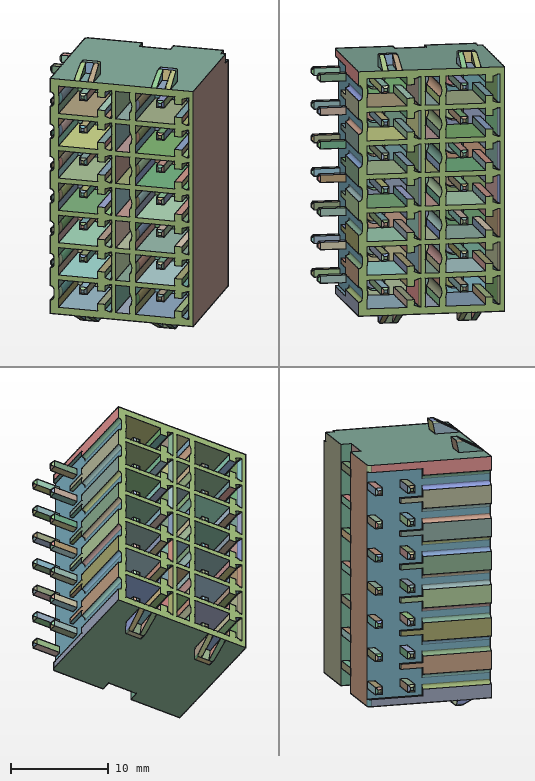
import cadquery as cq
import math


total_width = 17.8
total_height = 28.1
depth = 13.3
width = 15.25
height = 25.57

row_count = 7
row_pitch = 3.5
column_pitch = 8.23
row_heights = [(i - (row_count - 1) / 2) * row_pitch for i in range(row_count)]
column_starts = [0, column_pitch]

cavity_left = 0.9
cavity_width = 5.5
cavity_height = 2.98
cavity_depth = 7.35
lead_in_width = 0.15
lead_in_depth = 0.7
rib_left = 5.05
rib_width = 0.8
rib_drop = 0.8
rib_flare_drop = 0.2
rib_flare_width = 0.5
bump_start_height = 0.05
bump_height = 0.22
bump_half_span = 0.62

pocket_left = 7.0
pocket_width = 1.5
pocket_groove_depth = 0.22
pocket_groove_half_span = 0.67

pin_size = 0.8
pin_in_cavity = 3.1
pin_front = 1.32
pin_tip = 0.22
pin_exits = [9.33, 12.8]
pin_end = width - total_width
well_mouth = 2.08
well_floors = [1.9, 2.08]
well_depth = 0.85

recess_depth = 0.4
corner_radius = recess_depth
rim = 0.75
finger_end = 9.75
finger_thickness = row_pitch - cavity_height
groove_half_floor = 0.37
groove_half_mouth = 0.8

slot_left = 6.1
slot_width = 3.32
slot_depth = 1.12
corner_notch_width = 0.5
corner_notch_depth = 0.98
corner_notch_height = 0.98

hook_height = (total_height - height) / 2
hook_width = 2.08
hook_top_width = 1.9
hook_center = 3.57
hook_crest = 2.4
hook_tip = 2.98
hook_foot = 2.73
hook_root = 0.28
hook_round = 0.17
hook_slot_width = 0.87
hook_slot_rise = 0.17
hook_slot_end = 2.1


def box(x, y, z, dx, dy, dz):
    """Box from its lowest corner and its sizes."""
    return cq.Workplane("XY").box(dx, dy, dz, centered=False).translate((x, y, z))


def extrude_back(sketch, length):
    """Extrude an outline lying on the open front toward the back."""
    return sketch.extrude(-length)


def make_housing():
    """Solid block with a through slot and a corner notch at the back."""
    block = box(0, 0, -height / 2, width, depth, height)
    block = block.edges("<X and >Y").fillet(corner_radius)

    slot = box(slot_left, depth - slot_depth, -height / 2, slot_width, slot_depth, height)
    notch = box(
        width - corner_notch_width,
        depth - corner_notch_depth,
        height / 2 - corner_notch_height,
        corner_notch_width,
        corner_notch_depth,
        corner_notch_height,
    )
    return block.cut(slot).cut(notch)


def make_exit_recess():
    """Sunken area around the pin exits, without the fingers left between the rows."""
    recess = box(0, cavity_depth, rim - height / 2, recess_depth, depth - cavity_depth, height - 2 * rim)
    finger_length = finger_end - cavity_depth
    for z in row_heights[:-1]:
        finger_bottom = z + (row_pitch - finger_thickness) / 2
        finger = box(0, cavity_depth, finger_bottom, recess_depth, finger_length, finger_thickness)
        recess = recess.cut(finger)
    return recess


def make_side_groove(z):
    """Groove with a flat floor and coved flanks along the pin exit side."""
    mid_arc = math.sin(math.radians(45))
    cove_x = recess_depth * mid_arc
    cove_z = groove_half_floor + (groove_half_mouth - groove_half_floor) * mid_arc
    profile = (
        cq.Workplane("XZ")
        .moveTo(0, z - groove_half_mouth)
        .threePointArc((cove_x, z - cove_z), (recess_depth, z - groove_half_floor))
        .lineTo(recess_depth, z + groove_half_floor)
        .threePointArc((cove_x, z + cove_z), (0, z + groove_half_mouth))
        .close()
    )
    return extrude_back(profile, cavity_depth)


def draw_bow(sketch, x, z, rise, half_span):
    """Closed outline of a bow that rises toward +X from a chord at x."""
    return (
        sketch.moveTo(x, z - half_span)
        .threePointArc((x + rise, z), (x, z + half_span))
        .close()
    )


def make_bump(x, z):
    """Rounded ridge on the left wall of a cavity, ramping up to full height behind the opening."""
    ridge = draw_bow(cq.Workplane("XZ"), x, z, bump_height, bump_half_span)
    ridge = extrude_back(ridge, cavity_depth)
    ramp = draw_bow(cq.Workplane("XZ"), x, z, bump_start_height, bump_half_span)
    ramp = draw_bow(ramp.workplane(offset=-lead_in_depth), x, z, bump_height, bump_half_span)
    ramp = ramp.loft(ruled=True)
    ridge_front = box(x, 0, z - bump_half_span, bump_height, lead_in_depth, 2 * bump_half_span)
    return ridge.cut(ridge_front).union(ramp)


def make_rib(x, z, side):
    """Keying rib at the top (side = 1) or bottom (side = -1) of a cavity."""
    root = z + side * cavity_height / 2
    left = x + rib_left
    right = left + rib_width
    profile = (
        cq.Workplane("XZ")
        .moveTo(left, root)
        .lineTo(left, root - side * rib_drop)
        .lineTo(right, root - side * rib_drop)
        .lineTo(right, root - side * rib_flare_drop)
        .lineTo(right + rib_flare_width, root)
        .close()
    )
    return extrude_back(profile, cavity_depth)


def make_cavity(x, z, well_floor):
    """Space inside one plug cavity; its right wall has a sloped lead-in."""
    left = x + cavity_left
    right = left + cavity_width
    space = (
        cq.Workplane("XY", origin=(0, 0, z - cavity_height / 2))
        .moveTo(left, 0)
        .lineTo(right + lead_in_width, 0)
        .lineTo(right, lead_in_depth)
        .lineTo(right, cavity_depth)
        .lineTo(left, cavity_depth)
        .close()
        .extrude(cavity_height)
    )
    for side in (1, -1):
        space = space.cut(make_rib(x, z, side))
    space = space.cut(make_bump(left, z))

    well = (
        cq.Workplane("XZ", origin=(x + pin_in_cavity, cavity_depth, z))
        .circle(well_mouth / 2)
        .workplane(offset=-well_depth)
        .circle(well_floor / 2)
        .loft()
    )
    return space.union(well)


def make_pocket(z):
    """Space between the columns, with a groove in its right wall."""
    pocket = box(pocket_left, 0, z - cavity_height / 2, pocket_width, cavity_depth, cavity_height)
    wall = pocket_left + pocket_width
    groove = draw_bow(cq.Workplane("XZ"), wall, z, pocket_groove_depth, pocket_groove_half_span)
    return pocket.union(extrude_back(groove, cavity_depth))


def make_pin(x, exit_y, z):
    """Right-angle square pin from the cavity at x, leaving the housing toward -X."""
    half = pin_size / 2
    front_leg = box(x - half, pin_front, z - half, pin_size, exit_y + half - pin_front, pin_size)
    exit_leg = box(pin_end, exit_y - half, z - half, x + half - pin_end, pin_size, pin_size)
    front_leg = front_leg.faces("<Y").chamfer(pin_tip)
    exit_leg = exit_leg.faces("<X").chamfer(pin_tip)
    return front_leg.union(exit_leg)


def make_hook(x):
    """Ramped latch hook with tapered sides on the top face, hollowed by a slot in its ramp."""
    top = height / 2
    crest = top + hook_height
    ramp = (
        cq.Workplane("YZ", origin=(x - hook_width / 2, 0, 0))
        .moveTo(0, top - hook_root)
        .lineTo(0, top)
        .lineTo(hook_crest, crest)
        .lineTo(hook_tip, crest)
        .lineTo(hook_foot, top)
        .lineTo(hook_foot, top - hook_root)
        .close()
        .extrude(hook_width)
    )
    tapered_bar = (
        cq.Workplane("XZ", origin=(x, 0, 0))
        .moveTo(-hook_width / 2, top - hook_root)
        .lineTo(-hook_width / 2, top)
        .lineTo(-hook_top_width / 2, crest)
        .lineTo(hook_top_width / 2, crest)
        .lineTo(hook_width / 2, top)
        .lineTo(hook_width / 2, top - hook_root)
        .close()
    )
    tapered_bar = extrude_back(tapered_bar, hook_tip).faces(">Z").edges("|Y").fillet(hook_round)
    hook = ramp.intersect(tapered_bar)
    slot = (
        cq.Workplane("YZ", origin=(x - hook_slot_width / 2, 0, 0))
        .moveTo(0, top)
        .lineTo(hook_slot_end, top + hook_slot_rise)
        .lineTo(hook_crest, crest)
        .lineTo(0, crest)
        .close()
        .extrude(hook_slot_width)
    )
    return hook.cut(slot)


result = make_housing().cut(make_exit_recess())

for z in row_heights:
    result = result.cut(make_side_groove(z)).cut(make_pocket(z))
    for x, well_floor in zip(column_starts, well_floors):
        result = result.cut(make_cavity(x, z, well_floor))

for z in row_heights:
    for x, exit_y in zip(column_starts, pin_exits):
        result = result.union(make_pin(x + pin_in_cavity, exit_y, z))

for x in column_starts:
    hook = make_hook(x + hook_center)
    result = result.union(hook).union(hook.mirror("XY"))